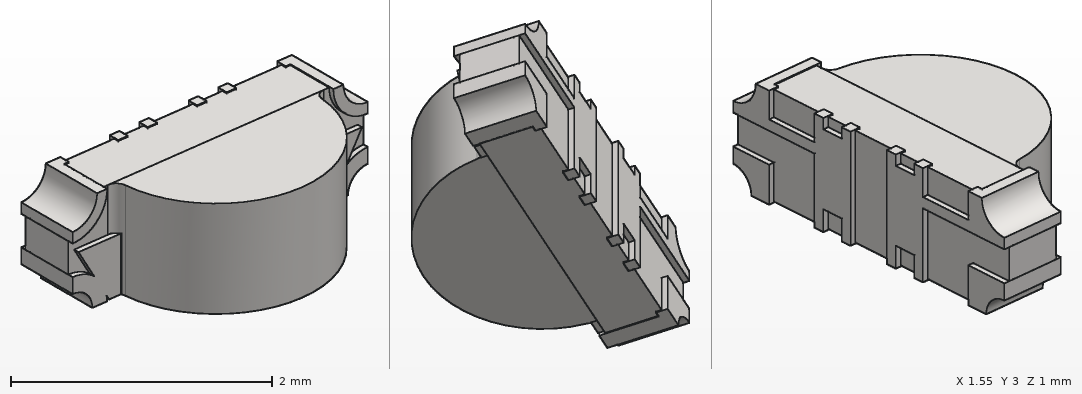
import cadquery as cq
import math

length = 3.0
half_length = length / 2
height = 1.0

board_back = 0.05
board_front = 0.55
board_inset = 0.01
board_height = height - 2 * board_inset

lens_radius = 1.002
lens_flare_radius = 0.1

plate_thickness = 0.1
terminal_front = 0.6
corner_plate_inner = 1.1

upper_corner_radius = 0.25
upper_wall = 0.102
upper_plate_bottom = height - upper_corner_radius - upper_wall
arm_height = 0.1
pad_inner = 0.2
pad_outer = 0.6
notch_inner = 0.3
notch_outer = 0.5
top_notch_depth = 0.1
bottom_notch_depth = 0.2

lower_corner_radius = 0.2
lower_wall = 0.15
lower_plate_height = lower_corner_radius + lower_wall
front_pad_height = 0.55
front_pad_outer = 1.44
front_pad_inner = 1.0
front_pad_slant = 30.0


def block(x_range, y_range, z_range):
    """A rectangular block between the given X, Y and Z limits."""
    (x0, x1), (y0, y1), (z0, z1) = x_range, y_range, z_range
    return cq.Workplane("XY").box(x1 - x0, y1 - y0, z1 - z0, centered=False).translate((x0, y0, z0))


def corner_cylinder(radius, z):
    """A rod along X, centred on the part's +Y edge at height z."""
    return cq.Workplane("YZ").center(half_length, z).circle(radius).extrude(terminal_front)


def corner_wall(radius, wall, z):
    """The quarter tube, inside the part's outline, that lines a hollow corner."""
    outline = block((0, terminal_front), (0, half_length), (0, height))
    tube = corner_cylinder(radius + wall, z).cut(corner_cylinder(radius, z))
    return tube.intersect(outline)


def both_ends(body):
    """The +Y body and its mirror copy at the -Y end."""
    return [body, body.mirror("XZ")]


def make_upper_terminal():
    """Upper corner plate joined by an arm to a notched pad near the middle, with its corner wall."""
    thickness = (0, plate_thickness)
    corner = block(thickness, (corner_plate_inner, half_length), (upper_plate_bottom, height))
    arm_top = upper_plate_bottom + arm_height
    arm = block(thickness, (pad_outer, corner_plate_inner), (upper_plate_bottom, arm_top))
    pad = block(thickness, (pad_inner, pad_outer), (0, height))
    notch_width = (notch_inner, notch_outer)
    top_notch = block(thickness, notch_width, (height - top_notch_depth, height))
    bottom_notch = block(thickness, notch_width, (0, bottom_notch_depth))
    plate = pad.cut(top_notch).cut(bottom_notch).union(arm).union(corner)
    plate = plate.cut(corner_cylinder(upper_corner_radius, height))
    return plate.union(corner_wall(upper_corner_radius, upper_wall, height))


def make_front_pad():
    """Pad on the front of the board that runs from a lower corner wall in under the lens."""
    slant = math.tan(math.radians(front_pad_slant))
    bottom_outer = front_pad_outer - (front_pad_height - board_inset) * slant
    outline = [
        (front_pad_inner, board_inset),
        (bottom_outer, board_inset),
        (front_pad_outer, front_pad_height),
        (front_pad_inner, front_pad_height),
    ]
    pad = cq.Workplane("YZ").polyline(outline).close().extrude(terminal_front - board_front)
    return pad.translate((board_front, 0, 0))


def make_lower_terminal():
    """Lower corner plate with its corner wall and the front pad."""
    plate = block((0, plate_thickness), (corner_plate_inner, half_length), (0, lower_plate_height))
    plate = plate.cut(corner_cylinder(lower_corner_radius, 0))
    return plate.union(corner_wall(lower_corner_radius, lower_wall, 0)).union(make_front_pad())


def make_board(terminals):
    """Board with hollow corners and recesses in which the terminals sit."""
    board = block(
        (board_back, board_front),
        (-half_length, half_length),
        (board_inset, height - board_inset),
    )
    hollows = both_ends(corner_cylinder(upper_corner_radius, height))
    hollows += both_ends(corner_cylinder(lower_corner_radius, 0))
    for cutter in hollows + terminals:
        board = board.cut(cutter)
    return board


def make_lens(front_pads):
    """Half-round lens that flares out onto the board and fits over the front pads."""
    center_distance = lens_radius + lens_flare_radius
    flare_y = math.sqrt(center_distance**2 - lens_flare_radius**2)
    flare_center_x = board_front + lens_flare_radius
    tangent_x = board_front + lens_flare_radius * lens_radius / center_distance
    tangent_y = flare_y * lens_radius / center_distance
    flare_end_angle = math.pi + math.atan2(flare_y, lens_flare_radius)
    flare_mid_angle = (math.pi + flare_end_angle) / 2
    flare_mid_x = flare_center_x + lens_flare_radius * math.cos(flare_mid_angle)
    flare_mid_y = flare_y + lens_flare_radius * math.sin(flare_mid_angle)
    lens = (
        cq.Workplane("XY")
        .moveTo(board_front, -flare_y)
        .threePointArc((flare_mid_x, -flare_mid_y), (tangent_x, -tangent_y))
        .threePointArc((board_front + lens_radius, 0), (tangent_x, tangent_y))
        .threePointArc((flare_mid_x, flare_mid_y), (board_front, flare_y))
        .close()
        .extrude(board_height)
        .translate((0, 0, board_inset))
    )
    for pad in front_pads:
        lens = lens.cut(pad)
    return lens


upper_terminals = both_ends(make_upper_terminal())
lower_terminals = both_ends(make_lower_terminal())
terminals = upper_terminals + lower_terminals
board = make_board(terminals)
lens = make_lens(both_ends(make_front_pad()))

result = cq.Compound.makeCompound([board.val(), lens.val(), *[terminal.val() for terminal in terminals]])